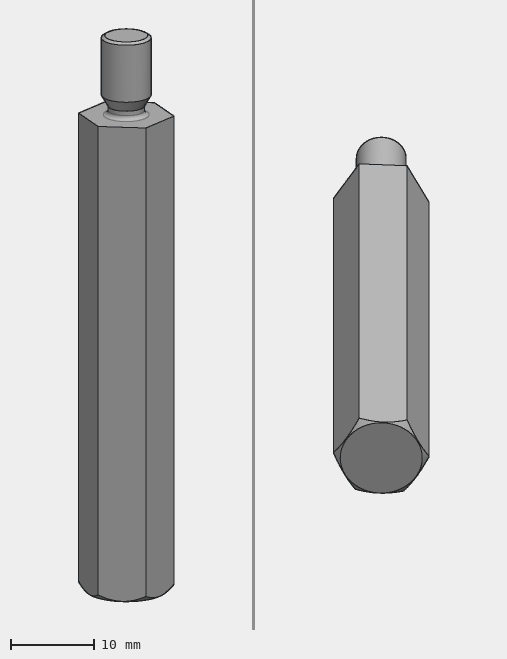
import cadquery as cq
import math

total_length = 70.0
across_flats = 10.0
stud_length = 10.0
body_length = total_length - stud_length
across_corners = across_flats / math.cos(math.radians(30))
corner_radius = across_corners / 2

foot_radius = 9.9 / 2
foot_chamfer_height = 0.8

stud_radius = 6.0 / 2
tip_radius = 5.2 / 2
tip_chamfer_height = 0.3
neck_radius = 4.4 / 2
neck_fillet = 0.55
groove_length = 2.5
groove_taper_angle = 30.0
groove_taper_height = (stud_radius - neck_radius) / math.tan(math.radians(groove_taper_angle))


def make_body():
    """Hexagonal bar with two flats facing +Y and -Y, its lower corners turned to a cone."""
    hexagon = cq.Workplane("XY").polygon(6, across_corners).extrude(body_length)
    turned_envelope = (
        cq.Workplane("XZ")
        .lineTo(foot_radius, 0)
        .lineTo(corner_radius, foot_chamfer_height)
        .lineTo(corner_radius, body_length)
        .lineTo(0, body_length)
        .close()
        .revolve(360, (0, 0, 0), (0, 1, 0))
    )
    return hexagon.intersect(turned_envelope)


def make_stud():
    """Turned stud: filleted neck, tapered groove side, plain shank and chamfered tip."""
    groove_top = body_length + groove_length
    fillet_mid_offset = neck_fillet * (1 - math.sqrt(0.5))
    return (
        cq.Workplane("XZ")
        .moveTo(0, body_length)
        .lineTo(neck_radius + neck_fillet, body_length)
        .threePointArc(
            (neck_radius + fillet_mid_offset, body_length + fillet_mid_offset),
            (neck_radius, body_length + neck_fillet),
        )
        .lineTo(neck_radius, groove_top - groove_taper_height)
        .lineTo(stud_radius, groove_top)
        .lineTo(stud_radius, total_length - tip_chamfer_height)
        .lineTo(tip_radius, total_length)
        .lineTo(0, total_length)
        .close()
        .revolve(360, (0, 0, 0), (0, 1, 0))
    )


result = make_body().union(make_stud())